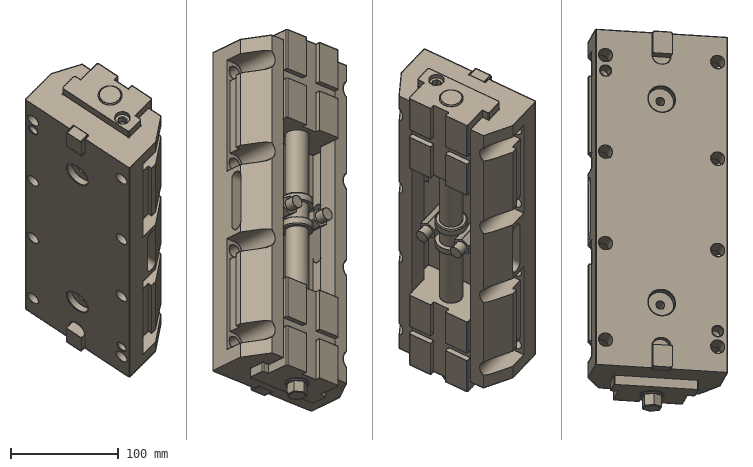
import cadquery as cq
import math


BASE_WIDTH = 125.0
BASE_HEIGHT = 65.0
BASE_LENGTH = 330.0
SHOULDER_RUN = 15.2
SHOULDER_ANGLE = 60
SHOULDER_RISE = SHOULDER_RUN * math.tan(math.radians(SHOULDER_ANGLE))
BASE_EDGE_CHAMFER = 0.7

SLOT_FLOOR = 27.0
FLANGE_WIDTH = 80.0
FLANGE_TOP = 45.0
NECK_WIDTH = 65.5

SCREW_DIAMETER = 13.0
COUNTERBORE_DIAMETER = 20.0
COUNTERBORE_FLOOR = 20.0
SCREW_X = 53.0
OUTER_SCREW_Z = 140.0
INNER_SCREW_Z = 45.0

POCKET_DEPTH = 4.0
POCKET_TOP = 32.5

WINDOW_WIDTH = 12.0
WINDOW_LENGTH = 60.0

DOWEL_DIAMETER = 10.0
DOWEL_MOUTH_DIAMETER = 11.3
DOWEL_DEPTH = 14.5
DOWEL_Z = 125.0
SOCKET_DIAMETER = 25.0
SOCKET_CHAMFER = 0.55
SOCKET_DEPTH = 7.0
SOCKET_HOLE_DIAMETER = 8.0
SOCKET_Z = 100.2

DRILL_TIP_ANGLE = 118

KEY_WIDTH = 18.0
KEY_LENGTH = 21.5
KEY_DEPTH = 5.5
KEY_PROTRUSION = 5.0
KEY_CHAMFER = 1.0

SLIDE_LENGTH = 91.0
SLIDE_OVERHANG = 9.0
SLIDE_PROTRUSION = 5.0
KEYWAY_WIDTH = 16.7
CROSS_KEYWAY_WIDTH = 9.8
KEYWAY_DEPTH = 5.0
SLIDE_EDGE_CHAMFER = 1.0

SET_SCREW_DIAMETER = 14.0
SET_SCREW_LENGTH = 18.0
SET_SCREW_RECESS = 4.5
SET_SCREW_X = 25.0
SET_SCREW_Y = 35.5
HEX_KEY_SIZE = 8.0
HEX_KEY_DEPTH = 7.3

SPINDLE_Y = 48.3
SPINDLE_DIAMETER = 22.0
SPINDLE_TOP = 175.5
SPINDLE_SHOULDER = 176.0
SPINDLE_CHAMFER = 1.0
COLLAR_DIAMETER = 30.0
COLLAR_END = 16.7
COLLAR_CHAMFER = 1.0
DRIVE_HEX_SIZE = 16.5
DRIVE_HEX_LENGTH = 11.5
DRIVE_HEX_CHAMFER = 0.7

RETAINER_HEX_SIZE = 16.0
RETAINER_DIAMETER = 12.0
RETAINER_TOP = 69.5

BASE_END = BASE_LENGTH / 2
SLIDE_END = BASE_END + SLIDE_OVERHANG
SLIDE_TOP = BASE_HEIGHT + SLIDE_PROTRUSION
HEX_CORNER_RATIO = 2 / math.sqrt(3)
COLLAR_START = RETAINER_HEX_SIZE * HEX_CORNER_RATIO / 2
SIDES = (-1, 1)


def box(x_range, y_range, z_range):
    """Axis-aligned block between the given limits."""
    lows, highs = zip(x_range, y_range, z_range)
    sizes = [high - low for low, high in zip(lows, highs)]
    return cq.Workplane("XY").box(*sizes, centered=False).translate(lows)


def cylinder_along_y(diameter, x, z, y_start, y_end):
    return (
        cq.Workplane("XZ", origin=(x, y_start, z))
        .circle(diameter / 2)
        .extrude(y_start - y_end)
    )


def cylinder_along_z(diameter, x, y, z_start, z_end):
    return (
        cq.Workplane("XY", origin=(x, y, z_start))
        .circle(diameter / 2)
        .extrude(z_end - z_start)
    )


def drill_point_length(diameter):
    return diameter / 2 / math.tan(math.radians(DRILL_TIP_ANGLE / 2))


def turned_about_base_axis(body):
    """Copy at the other end: half a turn about the Y axis."""
    return body.rotate((0, 0, 0), (0, 1, 0), 180)


def tee_prism(top, z_start, z_end):
    """T-section of the slot, with the neck carried up to the given height."""
    flange = box((-FLANGE_WIDTH / 2, FLANGE_WIDTH / 2), (SLOT_FLOOR, FLANGE_TOP), (z_start, z_end))
    neck = box((-NECK_WIDTH / 2, NECK_WIDTH / 2), (SLOT_FLOOR, top), (z_start, z_end))
    return flange.union(neck)


def base_blank():
    half_width = BASE_WIDTH / 2
    shoulder_y = BASE_HEIGHT - SHOULDER_RISE
    outline = [
        (-half_width, 0),
        (half_width, 0),
        (half_width, shoulder_y),
        (half_width - SHOULDER_RUN, BASE_HEIGHT),
        (-half_width + SHOULDER_RUN, BASE_HEIGHT),
        (-half_width, shoulder_y),
    ]
    return (
        cq.Workplane("XY", origin=(0, 0, -BASE_END))
        .polyline(outline)
        .close()
        .extrude(BASE_LENGTH)
        .edges("|Z and <Y")
        .chamfer(BASE_EDGE_CHAMFER)
    )


def mounting_screw_cut(side, z):
    """Through hole with a counterbore that opens to the side of the base."""
    radius = COUNTERBORE_DIAMETER / 2
    hole = cylinder_along_y(SCREW_DIAMETER, side * SCREW_X, z, 0, BASE_HEIGHT)
    counterbore = cylinder_along_y(
        COUNTERBORE_DIAMETER, side * SCREW_X, z, COUNTERBORE_FLOOR, BASE_HEIGHT
    )
    side_opening = box(
        sorted((side * SCREW_X, side * BASE_WIDTH / 2)),
        (COUNTERBORE_FLOOR, BASE_HEIGHT),
        (z - radius, z + radius),
    )
    return hole.union(counterbore).union(side_opening)


def grip_pocket(side, end):
    outer_x = BASE_WIDTH / 2
    return box(
        sorted((side * (outer_x - POCKET_DEPTH), side * outer_x)),
        (COUNTERBORE_FLOOR, POCKET_TOP),
        sorted((end * INNER_SCREW_Z, end * OUTER_SCREW_Z)),
    )


def window_cut():
    return (
        cq.Workplane("YZ", origin=(-BASE_WIDTH / 2, SLOT_FLOOR + WINDOW_WIDTH / 2, 0))
        .slot2D(WINDOW_LENGTH, WINDOW_WIDTH, 90)
        .extrude(BASE_WIDTH)
    )


def dowel_hole(x, z):
    """Blind drilled hole with a conical tip and a 45 degree mouth chamfer."""
    radius = DOWEL_DIAMETER / 2
    mouth_radius = DOWEL_MOUTH_DIAMETER / 2
    tip_length = drill_point_length(DOWEL_DIAMETER)
    profile = [
        (0, 0),
        (mouth_radius, 0),
        (radius, mouth_radius - radius),
        (radius, DOWEL_DEPTH),
        (0, DOWEL_DEPTH + tip_length),
    ]
    return (
        cq.Workplane("XY")
        .polyline(profile)
        .close()
        .revolve(360, (0, 0), (0, 1))
        .translate((x, 0, z))
    )


def locating_socket(z):
    socket = cylinder_along_y(SOCKET_DIAMETER, 0, z, 0, SOCKET_DEPTH)
    mouth = (
        cq.Workplane("XZ", origin=(0, 0, z))
        .circle(SOCKET_DIAMETER / 2 + SOCKET_CHAMFER)
        .extrude(-SOCKET_CHAMFER, taper=45)
    )
    return socket.union(mouth).union(cylinder_along_y(SOCKET_HOLE_DIAMETER, 0, z, 0, SLOT_FLOOR))


def key_groove():
    """Groove that opens at the upper end of the base and has a round inner end."""
    round_z = BASE_END - KEY_LENGTH
    straight = box((-KEY_WIDTH / 2, KEY_WIDTH / 2), (0, KEY_DEPTH), (round_z, BASE_END))
    return straight.union(cylinder_along_y(KEY_WIDTH, 0, round_z, 0, KEY_DEPTH))


def make_base():
    base = base_blank().cut(tee_prism(BASE_HEIGHT, -BASE_END, BASE_END)).cut(window_cut())
    for side in SIDES:
        for end in SIDES:
            base = base.cut(grip_pocket(side, end))
            for screw_z in (INNER_SCREW_Z, OUTER_SCREW_Z):
                base = base.cut(mounting_screw_cut(side, end * screw_z))
    for end in SIDES:
        base = base.cut(locating_socket(end * SOCKET_Z))
        base = base.cut(dowel_hole(-end * SCREW_X, end * DOWEL_Z))
    return base.cut(key_groove()).cut(turned_about_base_axis(key_groove()))


def make_key():
    """Alignment key at the upper end of the base, with chamfered outer corners."""
    return box(
        (-KEY_WIDTH / 2, KEY_WIDTH / 2),
        (-KEY_PROTRUSION, KEY_DEPTH),
        (BASE_END - KEY_LENGTH, BASE_END),
    ).edges("|Y and >Z").chamfer(KEY_CHAMFER)


def make_slide():
    """Slide at the upper end of the base, with crossing keyways in its top."""
    slide_start = SLIDE_END - SLIDE_LENGTH
    middle_z = SLIDE_END - SLIDE_LENGTH / 2
    keyway_y = (SLIDE_TOP - KEYWAY_DEPTH, SLIDE_TOP)
    keyway = box((-KEYWAY_WIDTH / 2, KEYWAY_WIDTH / 2), keyway_y, (slide_start, SLIDE_END))
    cross_keyway = box(
        (-NECK_WIDTH / 2, NECK_WIDTH / 2),
        keyway_y,
        (middle_z - CROSS_KEYWAY_WIDTH / 2, middle_z + CROSS_KEYWAY_WIDTH / 2),
    )
    spindle_bore = cylinder_along_z(SPINDLE_DIAMETER, 0, SPINDLE_Y, slide_start, SLIDE_END)
    inner_corners = cq.selectors.BoxSelector(
        (-NECK_WIDTH / 2 - SLIDE_EDGE_CHAMFER, FLANGE_TOP - SLIDE_EDGE_CHAMFER, slide_start),
        (NECK_WIDTH / 2 + SLIDE_EDGE_CHAMFER, FLANGE_TOP + SLIDE_EDGE_CHAMFER, SLIDE_END),
    )
    outer_edges = cq.selectors.StringSyntaxSelector("|Z") - inner_corners
    slide = tee_prism(SLIDE_TOP, slide_start, SLIDE_END)
    slide = slide.edges(outer_edges).chamfer(SLIDE_EDGE_CHAMFER)
    return slide.cut(keyway).cut(cross_keyway).cut(spindle_bore)


def set_screw_cylinder(z_end):
    """Set screw diameter from the screw's inner end up to the given height."""
    screw_start = SLIDE_END - SET_SCREW_RECESS - SET_SCREW_LENGTH
    return cylinder_along_z(SET_SCREW_DIAMETER, SET_SCREW_X, SET_SCREW_Y, screw_start, z_end)


def make_set_screw():
    """Set screw with a hexagon socket that ends in a drill point."""
    screw_top = SLIDE_END - SET_SCREW_RECESS
    face = cq.Workplane("XY", origin=(SET_SCREW_X, SET_SCREW_Y, screw_top))
    hex_socket = face.polygon(6, HEX_KEY_SIZE * HEX_CORNER_RATIO).extrude(-HEX_KEY_DEPTH)
    drill_point = cq.Workplane(
        cq.Solid.makeCone(
            HEX_KEY_SIZE / 2,
            0,
            drill_point_length(HEX_KEY_SIZE),
            cq.Vector(SET_SCREW_X, SET_SCREW_Y, screw_top - HEX_KEY_DEPTH),
            cq.Vector(0, 0, -1),
        )
    )
    return set_screw_cylinder(screw_top).cut(hex_socket).cut(drill_point)


def make_spindle():
    """Spindle with two collars at its middle and a hexagon drive at its lower end."""
    shaft = cylinder_along_z(SPINDLE_DIAMETER, 0, SPINDLE_Y, -SPINDLE_SHOULDER, SPINDLE_TOP)
    spindle = shaft.faces("<Z or >Z").chamfer(SPINDLE_CHAMFER)
    collar = cylinder_along_z(COLLAR_DIAMETER, 0, SPINDLE_Y, COLLAR_START, COLLAR_END)
    collar = collar.faces(">Z").chamfer(COLLAR_CHAMFER)
    spindle = spindle.union(collar).union(turned_about_base_axis(collar))
    drive_hex = (
        cq.Workplane("XY", origin=(0, SPINDLE_Y, -SPINDLE_SHOULDER))
        .transformed(rotate=(0, 0, 90))
        .polygon(6, DRIVE_HEX_SIZE * HEX_CORNER_RATIO)
        .extrude(-DRIVE_HEX_LENGTH)
        .faces("<Z")
        .chamfer(DRIVE_HEX_CHAMFER)
    )
    return spindle.union(drive_hex)


def make_retaining_pin(side):
    """Pin whose hexagonal foot stands beside the spindle, between its collars."""
    pin_x = side * (SPINDLE_DIAMETER + RETAINER_HEX_SIZE) / 2
    foot_top = SPINDLE_Y + SPINDLE_DIAMETER / 2
    foot = (
        cq.Workplane("XZ", origin=(pin_x, SLOT_FLOOR, 0))
        .transformed(rotate=(0, 0, 90))
        .polygon(6, RETAINER_HEX_SIZE * HEX_CORNER_RATIO)
        .extrude(SLOT_FLOOR - foot_top)
    )
    return foot.union(cylinder_along_y(RETAINER_DIAMETER, pin_x, 0, foot_top, RETAINER_TOP))


base = make_base()
spindle = make_spindle()
retaining_pins = [make_retaining_pin(side) for side in SIDES]
slide = make_slide()
upper_slide = slide.cut(set_screw_cylinder(SLIDE_END))
lower_slide = turned_about_base_axis(slide)
set_screw = make_set_screw()
upper_key = make_key()
lower_key = turned_about_base_axis(upper_key)

result = cq.Compound.makeCompound([
    base.val(),
    upper_slide.val(),
    lower_slide.val(),
    spindle.val(),
    *[pin.val() for pin in retaining_pins],
    set_screw.val(),
    upper_key.val(),
    lower_key.val(),
])